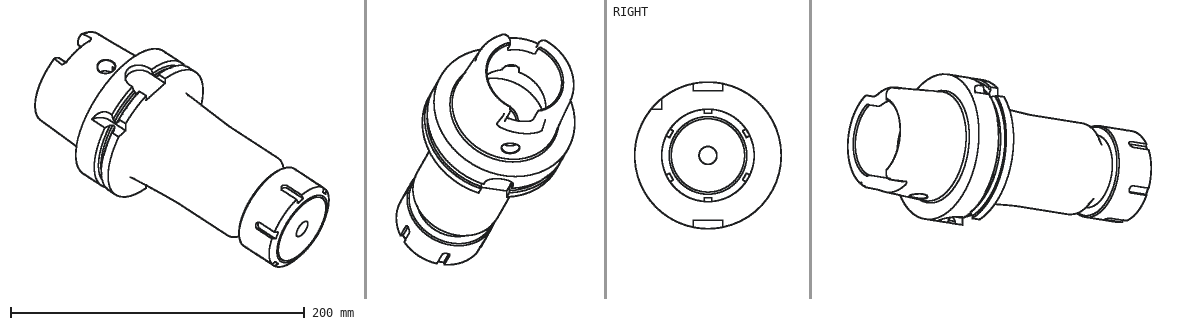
import cadquery as cq
import math


length = 210.0
taper_end = 46.8
seat_land_end = 48.0
flange_start = 50.0
flange_end = 79.0
cone_end = 121.5
shoulder_start = 166.7
nut_start = 179.3

flange_radius = 100.0 / 2
seat_radius = 75.2 / 2
seat_slope = 0.05
mouth_radius = seat_radius - seat_slope * taper_end
seat_root_radius = 38.6
cone_start_radius = 34.5
shank_radius = 63.0 / 2
neck_radius = 50.0 / 2
through_radius = 12.0 / 2
neck_start = shoulder_start + shank_radius - neck_radius

groove_start = 66.5
groove_start_kink = 67.8
groove_floor_start = 69.0
groove_floor_end = 71.0
groove_end_kink = 71.8
groove_end = 72.9
groove_floor_radius = 46.0
groove_start_kink_radius = 47.0
groove_end_kink_radius = 46.8
groove_lip_radius = 48.3

bore_radius = 53.0 / 2
bore_throat_radius = 50.0 / 2
bore_chamfer = 1.0
bore_parallel_depth = 20.0
bore_throat_depth = 35.0
chamber_radius = 63.0 / 2
chamber_depth = 58.8
recess_radius = 22.5 / 2
recess_chamfer = 1.0
recess_depth = 10.5
cross_hole_radius = 12.0 / 2
cross_hole_x = 34.9
cross_hole_chamfer = 0.32

top_slot_depth = 9.7
bottom_slot_depth = 15.0
drive_slot_half_width = 9.9
lug_corner_height = 27.3
lug_corner_radius = 4.8
lip_fillet = 2.0

keyway_radius = 20.0 / 2
keyway_end_x = 64.7
keyway_floor = 44.0
notch_offset = 31.5

flange_fillet = 2.5
shoulder_fillet = 2.5

nut_chamfer = 1.0
nut_bevel_start = 207.3
nut_face_radius = 26.5
spanner_slot_count = 6
spanner_slot_width = 5.2
spanner_slot_start = 192.0
spanner_slot_floor = 28.8

TOLERANCE = 0.02


def revolve_about_x(profile):
    """Turn a closed XY profile lying on the +Y side around the X axis."""
    return profile.close().revolve(360, (0, 0, 0), (1, 0, 0))


def ring_edge(body, x, radius):
    """Select the full circular edge of the given radius at station x."""
    return body.edges("%CIRCLE").filter(
        lambda edge: abs(edge.Center().x - x) < TOLERANCE and abs(edge.radius() - radius) < TOLERANCE
    )


def turned_blank():
    """Outer turned shape of the holder; the neck runs straight through the nut."""
    blank = revolve_about_x(
        cq.Workplane("XY")
        .moveTo(0, 0)
        .lineTo(0, mouth_radius)
        .lineTo(taper_end, seat_radius)
        .lineTo(seat_land_end, seat_radius)
        .lineTo(flange_start, seat_root_radius)
        .lineTo(flange_start, flange_radius)
        .lineTo(groove_start, flange_radius)
        .lineTo(groove_start_kink, groove_start_kink_radius)
        .lineTo(groove_floor_start, groove_floor_radius)
        .lineTo(groove_floor_end, groove_floor_radius)
        .lineTo(groove_end_kink, groove_end_kink_radius)
        .lineTo(groove_end, groove_lip_radius)
        .lineTo(groove_end, flange_radius)
        .lineTo(flange_end, flange_radius)
        .lineTo(flange_end, cone_start_radius)
        .lineTo(cone_end, shank_radius)
        .lineTo(shoulder_start, shank_radius)
        .lineTo(neck_start, neck_radius)
        .lineTo(length, neck_radius)
        .lineTo(length, 0)
    )
    blank = ring_edge(blank, 0, mouth_radius).fillet(lip_fillet)
    blank = ring_edge(blank, flange_end, cone_start_radius).fillet(flange_fillet)
    blank = ring_edge(blank, shoulder_start, shank_radius).fillet(shoulder_fillet)
    return ring_edge(blank, neck_start, neck_radius).fillet(shoulder_fillet)


def bore_cutter():
    """Mouth, throat and chamber of the hollow taper, the recess in its floor, and the through hole."""
    recess_end = chamber_depth + recess_depth
    return revolve_about_x(
        cq.Workplane("XY")
        .moveTo(0, 0)
        .lineTo(0, bore_radius + bore_chamfer)
        .lineTo(bore_chamfer, bore_radius)
        .lineTo(bore_parallel_depth, bore_radius)
        .lineTo(bore_throat_depth, bore_throat_radius)
        .lineTo(bore_throat_depth, chamber_radius)
        .lineTo(chamber_depth, chamber_radius)
        .lineTo(chamber_depth, recess_radius + recess_chamfer)
        .lineTo(chamber_depth + recess_chamfer, recess_radius)
        .lineTo(recess_end, recess_radius)
        .lineTo(recess_end, through_radius)
        .lineTo(length, through_radius)
        .lineTo(length, 0)
    )


def cut_cross_holes(body):
    """Drill the radial hole along Z through both walls of the taper and break its outer rims."""
    drill = (
        cq.Workplane("XY", origin=(cross_hole_x, 0, -flange_radius))
        .circle(cross_hole_radius)
        .extrude(2 * flange_radius)
    )
    drilled = body.cut(drill)
    outer_rims = drilled.edges().filter(
        lambda edge: abs(edge.Center().x - cross_hole_x) < cross_hole_radius
        and abs(edge.Center().z) > chamber_radius + cross_hole_chamfer
    )
    return outer_rims.chamfer(cross_hole_chamfer)


def slot_wall_box(x):
    """Selector for the edges of the drive slot walls at station x."""
    return cq.selectors.BoxSelector(
        (x - TOLERANCE, -seat_radius + TOLERANCE, TOLERANCE),
        (x + TOLERANCE, seat_radius - TOLERANCE, lug_corner_height + lug_corner_radius + TOLERANCE),
    )


def drive_slot_cutter(depth):
    """Upper drive slot: parallel walls that round outwards into flat shoulders."""
    shoulder_height = lug_corner_height + lug_corner_radius
    shoulder_y = drive_slot_half_width + lug_corner_radius
    arc_inset = lug_corner_radius * (1 - math.sqrt(0.5))
    arc_y = drive_slot_half_width + arc_inset
    arc_z = shoulder_height - arc_inset
    cutter = (
        cq.Workplane("YZ")
        .moveTo(-drive_slot_half_width, 0)
        .lineTo(-drive_slot_half_width, lug_corner_height)
        .threePointArc((-arc_y, arc_z), (-shoulder_y, shoulder_height))
        .lineTo(-seat_radius, shoulder_height)
        .lineTo(-seat_radius, flange_radius)
        .lineTo(seat_radius, flange_radius)
        .lineTo(seat_radius, shoulder_height)
        .lineTo(shoulder_y, shoulder_height)
        .threePointArc((arc_y, arc_z), (drive_slot_half_width, lug_corner_height))
        .lineTo(drive_slot_half_width, 0)
        .close()
        .extrude(depth)
    )
    cutter = cutter.edges(slot_wall_box(depth)).fillet(lip_fillet)
    block = cq.Workplane("XY").box(depth, 2 * seat_radius, flange_radius, centered=(False, True, False))
    lugs = block.cut(cutter)
    lugs = lugs.edges(slot_wall_box(0)).fillet(lip_fillet)
    return block.cut(lugs)


def keyway_cutter():
    """Upper flange keyway with a rounded end, open towards the shank."""
    run = flange_end - keyway_end_x
    return (
        cq.Workplane("XY", origin=(0, 0, keyway_floor))
        .moveTo(flange_end, -keyway_radius)
        .lineTo(keyway_end_x, -keyway_radius)
        .threePointArc((keyway_end_x - keyway_radius, 0), (keyway_end_x, keyway_radius))
        .line(run, 0)
        .close()
        .extrude(flange_radius - keyway_floor)
    )


def corner_notch_cutter():
    """Notch in the -Y, +Z corner of the flange, its end rounded like the keyways."""
    return (
        cq.Workplane("XY", origin=(0, 0, notch_offset))
        .moveTo(flange_end, -notch_offset)
        .lineTo(keyway_end_x, -notch_offset)
        .threePointArc(
            (keyway_end_x - keyway_radius, -notch_offset - keyway_radius),
            (keyway_end_x, -notch_offset - 2 * keyway_radius),
        )
        .lineTo(flange_end, -notch_offset - 2 * keyway_radius)
        .close()
        .extrude(flange_radius - notch_offset)
    )


def make_holder():
    """Hollow taper, flange, shank and neck as one solid."""
    upside_down = ((0, 0, 0), (1, 0, 0), 180)
    holder = turned_blank().cut(drive_slot_cutter(top_slot_depth))
    holder = holder.cut(drive_slot_cutter(bottom_slot_depth).rotate(*upside_down))
    holder = cut_cross_holes(holder.cut(bore_cutter()))
    keyway = keyway_cutter()
    return holder.cut(keyway).cut(keyway.rotate(*upside_down)).cut(corner_notch_cutter())


def spanner_slot_cutter():
    """Round-ended spanner slot on the +Z side of the nut, open at the right end."""
    half_width = spanner_slot_width / 2
    straight_start = spanner_slot_start + half_width
    return (
        cq.Workplane("XY", origin=(0, 0, spanner_slot_floor))
        .moveTo(length, -half_width)
        .lineTo(straight_start, -half_width)
        .threePointArc((spanner_slot_start, 0), (straight_start, half_width))
        .lineTo(length, half_width)
        .close()
        .extrude(shank_radius)
    )


def make_nut():
    """Clamping nut: a bevelled ring around the neck with spanner slots."""
    nut = revolve_about_x(
        cq.Workplane("XY")
        .moveTo(nut_start, neck_radius)
        .lineTo(nut_start, shank_radius - nut_chamfer)
        .lineTo(nut_start + nut_chamfer, shank_radius)
        .lineTo(nut_bevel_start, shank_radius)
        .lineTo(length, nut_face_radius)
        .lineTo(length, neck_radius)
    )
    slot = spanner_slot_cutter()
    for index in range(spanner_slot_count):
        angle = index * 360 / spanner_slot_count
        nut = nut.cut(slot.rotate((0, 0, 0), (1, 0, 0), angle))
    return nut


holder = make_holder()
nut = make_nut()
result = cq.Compound.makeCompound([holder.solids().val(), nut.solids().val()])